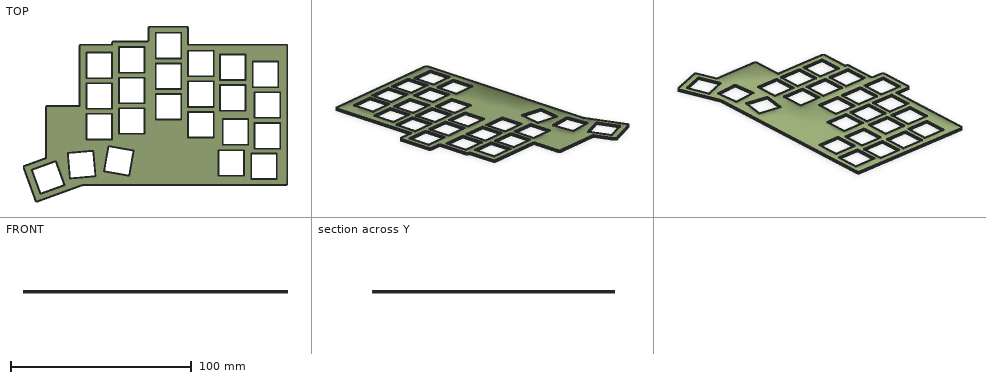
import cadquery as cq
import math

thickness = 1.18
plate_right = 146.2
corner_radius = 1.0
inner_corner_radius = 0.7

plate_bottom = 9.0
shelf_top = 53.1
side_top = 87.0
ring_top = 88.7
middle_top = 97.0

shelf_left = 12.5
outer_left = 31.0
ring_left = 49.0
middle_left = 69.2
middle_right = 91.2

key_size = 14.0
row_pitch = 17.0

column_centers = [(42.0, 58.5), (60.0, 61.5), (80.3, 69.5), (98.3, 59.5)]

single_keys = [
    (116.0, 74.4), (116.0, 57.5), (117.4, 38.6), (115.0, 21.3),
    (134.1, 70.5), (135.1, 53.5), (135.1, 36.4), (133.2, 19.6),
]

pad_left = 11.0
pad_half_height = 10.5
pad_right = 17.5
pad_angle = 20.0

pad_tilt = math.radians(pad_angle)
arc_left = pad_left - corner_radius
arc_height = pad_half_height - corner_radius
outer_thumb_x = arc_left * math.cos(pad_tilt) + arc_height * math.sin(pad_tilt) + corner_radius
outer_thumb_y = arc_left * math.sin(pad_tilt) + arc_height * math.cos(pad_tilt) + corner_radius

outer_thumb = (outer_thumb_x, outer_thumb_y, pad_angle)
thumb_keys = [outer_thumb, (32.2, 20.5, 5.0), (52.8, 22.5, -10.0)]


def place(body, placement):
    """Turn a body about the vertical axis, then move it to its centre."""
    x, y, angle = placement
    return body.rotate((0, 0, 0), (0, 0, 1), angle).translate((x, y, 0))


def round_corners(body, corners, radius):
    """Round the upright edges that stand at the given outline corners."""
    for x, y in corners:
        edge = cq.NearestToPointSelector((x, y, thickness / 2))
        body = body.edges("|Z").edges(edge).fillet(radius)
    return body


def main_plate():
    """Stepped plate that carries the key columns."""
    inner_corner = (middle_left, ring_top)
    outer_corners = [
        (shelf_left, shelf_top),
        (outer_left, side_top),
        (ring_left, ring_top),
        (middle_left, middle_top),
        (middle_right, middle_top),
        (plate_right, side_top),
        (plate_right, plate_bottom),
    ]
    outline = [
        (shelf_left, plate_bottom),
        (shelf_left, shelf_top),
        (outer_left, shelf_top),
        (outer_left, side_top),
        (ring_left, side_top),
        (ring_left, ring_top),
        inner_corner,
        (middle_left, middle_top),
        (middle_right, middle_top),
        (middle_right, side_top),
        (plate_right, side_top),
        (plate_right, plate_bottom),
    ]
    body = cq.Workplane("XY").polyline(outline).close().extrude(thickness)
    body = round_corners(body, outer_corners, corner_radius)
    return round_corners(body, [inner_corner], inner_corner_radius)


def thumb_pad():
    """Tilted pad around the outer thumb key, running into the main plate."""
    length = pad_left + pad_right
    offset = (pad_right - pad_left) / 2
    pad = cq.Workplane("XY").center(offset, 0).rect(length, 2 * pad_half_height).extrude(thickness)
    pad = pad.edges("|Z and <X").fillet(corner_radius)
    return place(pad, outer_thumb)


def key_openings():
    """All switch openings as one cutting body."""
    upright_keys = list(single_keys)
    for x, y in column_centers:
        for row in (-1, 0, 1):
            upright_keys.append((x, y + row * row_pitch))

    openings = cq.Workplane("XY").pushPoints(upright_keys)
    openings = openings.rect(key_size, key_size).extrude(thickness)
    thumb_opening = cq.Workplane("XY").rect(key_size, key_size).extrude(thickness)
    for placement in thumb_keys:
        openings = openings.union(place(thumb_opening, placement))
    return openings


result = main_plate().union(thumb_pad()).cut(key_openings())